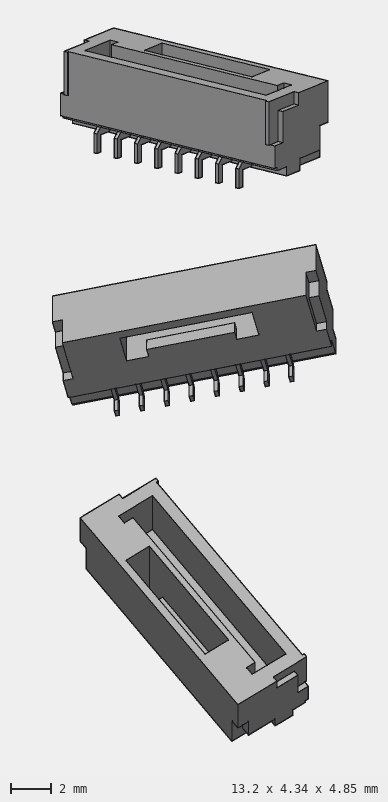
import cadquery as cq

LENGTH = 13.25
DEPTH = 4.24
HEIGHT = 4.04

STEP_HEIGHT = 0.64
STEP_DEPTH = 0.19
SHELF_HEIGHT = 0.48
SHELF_DEPTH = 0.94

FRONT_RECESS_DEPTH = 0.29
REAR_RECESS_DEPTH = 0.5
RECESS_STRIP = 0.64
RECESS_LONG_LEG = 2.24
RECESS_SHORT_LEG = 1.9

RIB_WIDTH = 0.21
RIB_PROJECTION = 0.1

CAVITY_LENGTH = 11.21
CAVITY_WIDTH = 1.51
CAVITY_FRONT_WALL = 0.62
CAVITY_FLOOR = 0.93
KEYWAY_LENGTH = 0.48
KEYWAY_DEPTH = 0.52

WINDOW_LENGTH = 6.65
WINDOW_WIDTH = 1.4
WINDOW_REAR_WALL = 0.4
LEDGE_LENGTH = 4.43
LEDGE_WIDTH = 0.44
LEDGE_HEIGHT = 0.8

PIN_COUNT = 8
PIN_ROW_LENGTH = 8.77
PIN_PITCH = PIN_ROW_LENGTH / (PIN_COUNT - 1)
PIN_WIDTH = 0.2
PIN_BAR_THICKNESS = 0.4
PIN_LEG_THICKNESS = 0.32
PIN_BEND_CHAMFER = 0.28
PIN_DROP = 0.81


def block(x_range, y_range, z_range):
    """Box spanning the given ranges."""
    lows, highs = zip(x_range, y_range, z_range)
    sizes = [high - low for low, high in zip(lows, highs)]
    return cq.Workplane("XY").box(*sizes, centered=False).translate(lows)


def centred(length):
    """X range of the given length, centred on the housing."""
    return (-length / 2, length / 2)


def extrude_along_x(points, x_start, width):
    """Extrude a closed (Y, Z) outline towards +X."""
    return cq.Workplane("YZ").polyline(points).close().extrude(width).translate((x_start, 0, 0))


def housing_block():
    outline = [
        (SHELF_DEPTH, 0),
        (DEPTH, 0),
        (DEPTH, HEIGHT),
        (0, HEIGHT),
        (0, STEP_HEIGHT),
        (STEP_DEPTH, STEP_HEIGHT),
        (STEP_DEPTH, SHELF_HEIGHT),
        (SHELF_DEPTH, SHELF_HEIGHT),
    ]
    return extrude_along_x(outline, -LENGTH / 2, LENGTH)


def left_end_recesses():
    """Upper front and lower rear L-shaped recesses of the -X end."""
    upper_front = [
        (0, HEIGHT),
        (RECESS_SHORT_LEG, HEIGHT),
        (RECESS_SHORT_LEG, HEIGHT - RECESS_STRIP),
        (RECESS_STRIP, HEIGHT - RECESS_STRIP),
        (RECESS_STRIP, HEIGHT - RECESS_LONG_LEG),
        (0, HEIGHT - RECESS_LONG_LEG),
    ]
    lower_rear = [
        (DEPTH, 0),
        (DEPTH - RECESS_LONG_LEG, 0),
        (DEPTH - RECESS_LONG_LEG, RECESS_STRIP),
        (DEPTH - RECESS_STRIP, RECESS_STRIP),
        (DEPTH - RECESS_STRIP, RECESS_SHORT_LEG),
        (DEPTH, RECESS_SHORT_LEG),
    ]
    upper = extrude_along_x(upper_front, -LENGTH / 2, FRONT_RECESS_DEPTH)
    lower = extrude_along_x(lower_rear, -LENGTH / 2, REAR_RECESS_DEPTH)
    return upper.union(lower)


def left_front_rib():
    rib_start = -LENGTH / 2 + FRONT_RECESS_DEPTH
    return block(
        (rib_start, rib_start + RIB_WIDTH),
        (-RIB_PROJECTION, RIB_PROJECTION),
        (HEIGHT - RECESS_LONG_LEG, HEIGHT),
    )


def mating_cavity():
    z_range = (CAVITY_FLOOR, HEIGHT)
    rear = CAVITY_FRONT_WALL + CAVITY_WIDTH
    cavity = block(centred(CAVITY_LENGTH), (CAVITY_FRONT_WALL, rear), z_range)
    keyway_start = -CAVITY_LENGTH / 2
    keyway = block(
        (keyway_start, keyway_start + KEYWAY_LENGTH),
        (CAVITY_FRONT_WALL, rear + KEYWAY_DEPTH),
        z_range,
    )
    return cavity.union(keyway).union(keyway.mirror("YZ"))


def rear_window():
    """Through opening, less the ledge left standing at its foot."""
    rear = DEPTH - WINDOW_REAR_WALL
    front = rear - WINDOW_WIDTH
    window = block(centred(WINDOW_LENGTH), (front, rear), (0, HEIGHT))
    ledge = block(centred(LEDGE_LENGTH), (front, front + LEDGE_WIDTH), (0, LEDGE_HEIGHT))
    return window.cut(ledge)


def pin(x_centre):
    """Bar under the shelf, bent down into a leg in front of the housing."""
    front = -RIB_PROJECTION
    leg_rear = front + PIN_LEG_THICKNESS
    bar_bottom = SHELF_HEIGHT - PIN_BAR_THICKNESS
    outline = [
        (SHELF_DEPTH, SHELF_HEIGHT),
        (front + PIN_BEND_CHAMFER, SHELF_HEIGHT),
        (front, SHELF_HEIGHT - PIN_BEND_CHAMFER),
        (front, -PIN_DROP),
        (leg_rear, -PIN_DROP),
        (leg_rear, bar_bottom),
        (SHELF_DEPTH, bar_bottom),
    ]
    return extrude_along_x(outline, x_centre - PIN_WIDTH / 2, PIN_WIDTH)


result = housing_block()

recesses = left_end_recesses()
result = result.cut(recesses).cut(recesses.mirror("YZ"))

rib = left_front_rib()
result = result.union(rib).union(rib.mirror("YZ"))

result = result.cut(mating_cavity()).cut(rear_window())

for index in range(PIN_COUNT):
    result = result.union(pin(index * PIN_PITCH - PIN_ROW_LENGTH / 2))